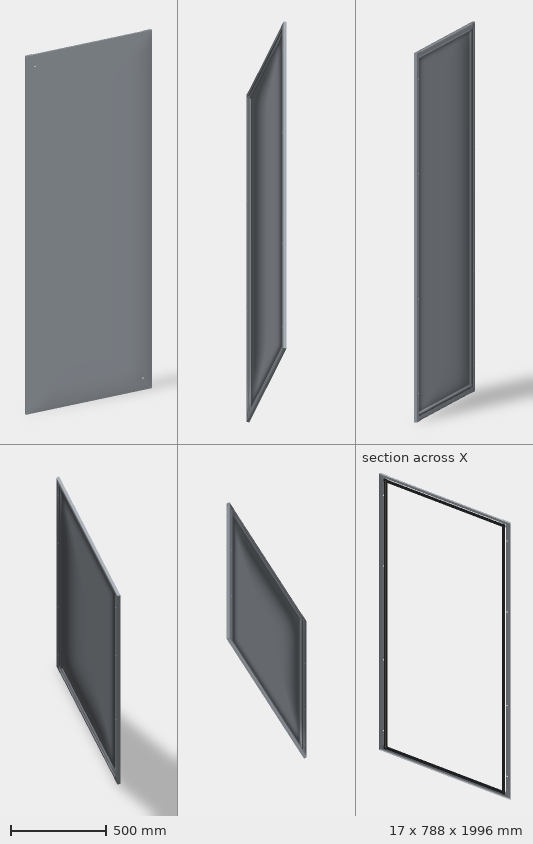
import cadquery as cq

thickness = 17.0
width = 788.0
height = 1996.0

sheet = 2.0
bend_radius = 5.0
side_flange = 30.0
end_flange = 25.0
square_corner = 48.0

bead_width = 18.0
side_bead_inset = 30.0
end_bead_inset = 25.0

flange_hole_diameter = 10.0
flange_hole_y = 371.0
flange_hole_heights = (855.0, 343.0, -333.0, -845.0)
skin_hole_diameter = 8.0
skin_hole_y = 337.0
skin_hole_z = 932.0

front_x = -thickness / 2
skin_x = thickness / 2 - sheet


def block(x_min, x_max, y_size, z_size):
    """Block centred on the X axis between two X positions."""
    return cq.Workplane("XY").box(x_max - x_min, y_size, z_size).translate(((x_min + x_max) / 2, 0, 0))


def folded_tray():
    """Skin with four walls and return flanges around a central opening."""
    blank = block(front_x, -front_x, width, height)
    side_folds = blank.faces("<X").edges("|Z").fillet(bend_radius)
    all_folds = blank.faces("<X").edges().fillet(bend_radius)
    middle = block(front_x, -front_x, width - 2 * square_corner, height)
    outer = side_folds.cut(middle).union(all_folds.intersect(middle))
    cavity = block(front_x + sheet, skin_x, width - 2 * sheet, height - 2 * sheet)
    cavity = cavity.faces("<X").edges().fillet(bend_radius - sheet)
    opening = block(front_x, skin_x, width - 2 * side_flange, height - 2 * end_flange)
    return outer.cut(cavity).cut(opening)


def bead(length):
    """Half-round bar along Z with its flat side on the skin and its crown towards -X."""
    bar = cq.Workplane("XY").circle(bead_width / 2).extrude(length / 2, both=True)
    return bar.intersect(block(-bead_width, 0, bead_width, length)).translate((skin_x, 0, 0))


def bead_frame():
    """Rectangular ring of bead, with the bars crossing at the corners."""
    bead_span_y = width - 2 * side_bead_inset
    bead_span_z = height - 2 * end_bead_inset
    side_bar = bead(bead_span_z)
    end_bar = bead(bead_span_y).rotate((0, 0, 0), (1, 0, 0), 90)
    offset_y = (bead_span_y - bead_width) / 2
    offset_z = (bead_span_z - bead_width) / 2
    ring = side_bar.translate((0, offset_y, 0))
    ring = ring.union(side_bar.translate((0, -offset_y, 0)))
    for side in (1, -1):
        ring = ring.union(end_bar.translate((0, 0, side * offset_z)))
    return ring


def hole(diameter, y, z, x_min, x_max):
    """Cutter for a round hole along X."""
    return cq.Workplane("YZ", origin=(x_min, y, z)).circle(diameter / 2).extrude(x_max - x_min)


result = folded_tray().union(bead_frame())
for side in (1, -1):
    for z in flange_hole_heights:
        result = result.cut(hole(flange_hole_diameter, side * flange_hole_y, side * z, front_x, 0))
    result = result.cut(hole(skin_hole_diameter, -side * skin_hole_y, side * skin_hole_z, front_x, thickness))